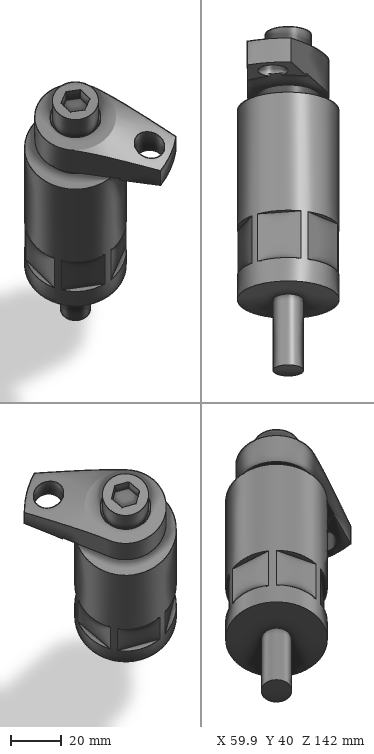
import cadquery as cq
import math


body_radius = 20.0
body_height = 80.0
stud_radius = 6.0
stud_length = 30.0
collar_radius = 12.5
collar_height = 6.0
flat_offset = 18.0
flat_count = 6
flat_height = 20.0
bottom_band_height = 10.0

hub_radius = 16.0
hub_height = 15.0
arm_reach = 39.9
arm_taper = 11
arm_tip_drop = 6.0
foot_start_radius = 25.7
foot_drop = 1.0
arm_hole_radius = 6.0
arm_hole_x = 31.1
counterbore_radius = 10.0
counterbore_depth = 1.1

head_radius = 9.1
shank_radius = stud_radius
engagement = 11.9
socket_width = 10.0
socket_depth = 6.0

total_height = 142
body_top = stud_length + body_height
flats_bottom = stud_length + bottom_band_height
hub_bottom = body_top + collar_height
hub_top = hub_bottom + hub_height
head_bottom = hub_top - counterbore_depth
shank_bottom = hub_bottom - engagement


def cylinder(radius, bottom, top):
    return cq.Workplane("XY").workplane(offset=bottom).circle(radius).extrude(top - bottom)


def hexagon_prism(across_flats, bottom, height):
    """Hexagonal prism with two of its flats facing +X and -X."""
    across_corners = across_flats / math.cos(math.pi / 6)
    return (
        cq.Workplane("XY")
        .workplane(offset=bottom)
        .transformed(rotate=(0, 0, 30))
        .polygon(6, across_corners)
        .extrude(height)
    )


def cut_wrench_flats(body):
    """Cut evenly spaced flats around the lower part of the housing."""
    cutter = (
        cq.Workplane("XY")
        .workplane(offset=flats_bottom)
        .center(flat_offset + body_radius / 2, 0)
        .rect(body_radius, 2 * body_radius)
        .extrude(flat_height)
    )
    for i in range(flat_count):
        body = body.cut(cutter.rotate((0, 0, 0), (0, 0, 1), i * 360 / flat_count))
    return body


def make_housing():
    """Body with its stud and collar, and the hole that takes the screw."""
    body = cut_wrench_flats(cylinder(body_radius, stud_length, body_top))
    stud = cylinder(stud_radius, 0, stud_length)
    collar = cylinder(collar_radius, body_top, hub_bottom)
    screw_hole = cylinder(shank_radius, shank_bottom, hub_bottom)
    return body.union(stud).union(collar).cut(screw_hole)


def arm_plan():
    """Round hub with sides tangent to it, closed by an arc about the axis."""
    taper = math.radians(arm_taper)
    tangent_x = hub_radius * math.sin(taper)
    tangent_y = hub_radius * math.cos(taper)
    tip_angle = math.acos(hub_radius / arm_reach)
    corner_angle = math.pi / 2 - taper - tip_angle
    corner_x = arm_reach * math.cos(corner_angle)
    corner_y = arm_reach * math.sin(corner_angle)
    return (
        cq.Workplane("XY")
        .workplane(offset=hub_bottom - foot_drop)
        .moveTo(tangent_x, tangent_y)
        .threePointArc((-hub_radius, 0), (tangent_x, -tangent_y))
        .lineTo(corner_x, -corner_y)
        .threePointArc((arm_reach, 0), (corner_x, corner_y))
        .close()
        .extrude(hub_height + foot_drop)
    )


def arm_section():
    """Turned shape that gives the arm its flat hub, conical top and stepped foot."""
    outer_radius = arm_reach + 1.4
    tip_slope = arm_tip_drop / (arm_reach - hub_radius)
    outer_top = hub_top - tip_slope * (outer_radius - hub_radius)
    return (
        cq.Workplane("XZ")
        .moveTo(0, hub_bottom)
        .lineTo(foot_start_radius, hub_bottom)
        .lineTo(foot_start_radius, hub_bottom - foot_drop)
        .lineTo(outer_radius, hub_bottom - foot_drop)
        .lineTo(outer_radius, outer_top)
        .lineTo(hub_radius, hub_top)
        .lineTo(0, hub_top)
        .close()
        .revolve(360, (0, 0, 0), (0, 1, 0))
    )


def make_arm():
    arm = arm_plan().intersect(arm_section())
    tip_hole = cylinder(arm_hole_radius, hub_bottom - foot_drop, hub_top).translate((arm_hole_x, 0, 0))
    screw_hole = cylinder(shank_radius, hub_bottom, hub_top)
    counterbore = cylinder(counterbore_radius, head_bottom, hub_top)
    return arm.cut(tip_hole).cut(screw_hole).cut(counterbore)


def make_screw():
    """Screw whose head rests in the counterbore of the arm."""
    head = cylinder(head_radius, head_bottom, total_height)
    shank = cylinder(shank_radius, shank_bottom, head_bottom)
    socket = hexagon_prism(socket_width, total_height - socket_depth, socket_depth)
    return head.union(shank).cut(socket)


housing = make_housing()
arm = make_arm()
screw = make_screw()

result = cq.Compound.makeCompound([housing.val(), arm.val(), screw.val()])